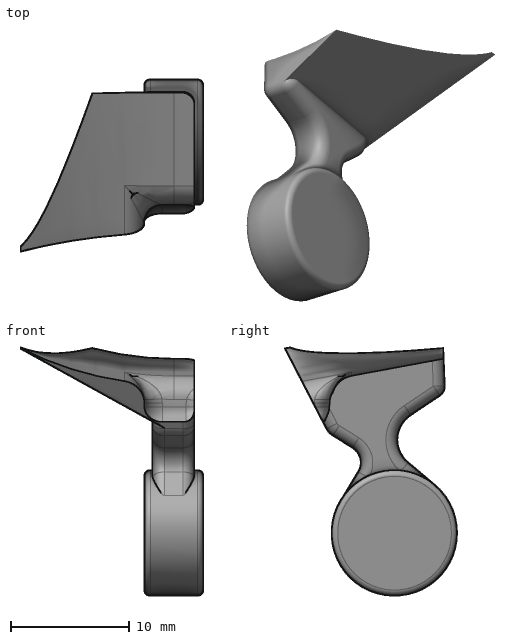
import cadquery as cq
import math

pad_diameter = 10.64
pad_thickness = 5.0
pad_edge_radius = 0.5
pad_radius = pad_diameter / 2

neck_left_x = -1.83
neck_right_x = 1.74
neck_edge_radius = 1.0
front_foot = (-4.26, 3.18)
front_waist = (-2.3, 6.45)
front_lip = (-5.57, 8.48)
back_waist = (-1.39, 8.12)
back_shoulder = (4.3, 11.93)
back_foot_angle = 50.6
front_waist_radius = 1.5
front_lip_radius = 1.5
back_waist_radius = 2.5
back_shoulder_radius = 1.0

front_lean = -0.517
back_lean = -0.04
outline_top_z = 18.0

tip_x = -12.97
blade_right_x = 0.0
blade_far_x = -20.0
top_height = 13.98
top_slope = 0.186
top_bend_radius = 27.0
underside_back = (-1.83, 4.3, 12.85)
underside_back_rise = -0.557
underside_front = (-1.83, -6.06, 9.46)
underside_front_rise = -0.5518
underside_overrun = 0.15

notch_width = pad_thickness
notch_wall_y = -5.3
notch_floor_z = 9.2
notch_corner_radius = 1.5
notch_brow_radius = 2.0
valley_top_z = 13.25

stock_size = (24.0, 40.0, 40.0)
stock_centre = (-6.0, 0.0, 10.0)
margin = 2.0
tolerance = 0.01


def make_pad():
    pad = cq.Workplane("YZ", origin=(-pad_thickness / 2, 0, 0)).circle(pad_radius).extrude(pad_thickness)
    return pad.edges().fillet(pad_edge_radius)


def front_y(z):
    return front_lip[0] + front_lean * (z - front_lip[1])


def back_y(z):
    return back_shoulder[0] + back_lean * (z - back_shoulder[1])


def make_profile(left_x, right_x):
    """Extrude the neck and head outline from left_x to right_x."""
    angle = math.radians(back_foot_angle)
    back_foot = (pad_radius * math.cos(angle), pad_radius * math.sin(angle))
    outline = [
        (0, 0),
        front_foot,
        front_waist,
        front_lip,
        (front_y(outline_top_z), outline_top_z),
        (back_y(outline_top_z), outline_top_z),
        back_shoulder,
        back_waist,
        back_foot,
    ]
    body = cq.Workplane("YZ", origin=(left_x, 0, 0)).polyline(outline).close().extrude(right_x - left_x)
    rounded_corners = [
        (front_waist, front_waist_radius),
        (front_lip, front_lip_radius),
        (back_waist, back_waist_radius),
        (back_shoulder, back_shoulder_radius),
    ]
    middle_x = (left_x + right_x) / 2
    for (y, z), radius in rounded_corners:
        body = body.edges(cq.selectors.NearestToPointSelector((middle_x, y, z))).fillet(radius)
    return body


def make_neck():
    """The neck profile with both sides rounded, from the pad up into the head."""
    neck = make_profile(neck_left_x, neck_right_x)
    rims = neck.faces("<X or >X").edges()
    rims = rims.filter(lambda e: e.distance(cq.Vertex.makeVertex(e.Center().x, 0, 0)) > tolerance)
    rims = rims.filter(lambda e: e.Center().z < outline_top_z - tolerance)
    return neck.newObject(rims.vals()).fillet(neck_edge_radius)


def along_edge(start, rise, x, y_per_z):
    """The point at x on an underside edge that rises with x and leans in Y with height."""
    z = start[2] + rise * (x - start[0])
    return cq.Vector(x, start[1] + y_per_z * (z - start[2]), z)


def make_blade():
    """The part of the wide profile that lies above the warped underside."""
    ends = []
    for start, rise, lean in (
        (underside_front, underside_front_rise, front_lean),
        (underside_back, underside_back_rise, back_lean),
    ):
        low = along_edge(start, rise, blade_right_x, lean)
        high = along_edge(start, rise, blade_far_x, lean)
        corner = cq.Vector(blade_right_x, high.y, high.z)
        ends.append((low, high, corner))
    front, back = ends
    front_out = [f + (f - b) * underside_overrun for f, b in zip(front, back)]
    back_out = [b + (b - f) * underside_overrun for f, b in zip(front, back)]
    wires = [cq.Wire.makePolygon(points, close=True) for points in (front_out, back_out)]
    above_underside = cq.Workplane(cq.Solid.makeLoft(wires, True))
    return make_profile(tip_x, blade_right_x).intersect(above_underside)


def make_top_cutter():
    """Everything above the top sheet: flat on the right, bending upward to the left."""
    back_reach = stock_size[1] / 2 + margin
    right_x = stock_centre[0] + stock_size[0] / 2 + margin
    height = stock_size[2]
    slope_plane = cq.Plane(
        origin=(0, back_reach, top_height + top_slope * back_reach),
        xDir=(1, 0, 0),
        normal=(0, -1, -top_slope),
    )
    bend = math.asin(-blade_far_x / top_bend_radius)
    middle = (-top_bend_radius * math.sin(bend / 2), top_bend_radius * (1 - math.cos(bend / 2)))
    end = (blade_far_x, top_bend_radius * (1 - math.cos(bend)))
    return (
        cq.Workplane(slope_plane)
        .lineTo(right_x, 0)
        .lineTo(right_x, height)
        .lineTo(blade_far_x, height)
        .lineTo(*end)
        .threePointArc(middle, (0, 0))
        .close()
        .extrude(2 * back_reach)
    )


def make_plain_stock():
    block = cq.Workplane("XY").box(*stock_size).translate(stock_centre)
    return block.cut(make_top_cutter())


def make_stepped_stock(step_size, step_corner, brow_points):
    """The stock with one step cut from it and the step's upper edge rounded."""
    step = cq.Workplane("XY").box(*step_size, centered=False).translate(step_corner)
    stock = make_plain_stock().cut(step)
    return stock.newObject(nearest_edges(stock, brow_points)).fillet(notch_brow_radius)


def nearest_edges(body, points):
    """The edge of the body nearest to each of the points."""
    edges = body.edges().vals()
    return [min(edges, key=lambda edge: edge.distance(cq.Vertex.makeVertex(*point))) for point in points]


def make_notch_space():
    """The space of the notch under the top sheet, with its brows, corners and floor rounded."""
    length, depth, height = stock_size
    half_width = notch_width / 2
    top_at_wall = top_height + top_slope * notch_wall_y
    bend_rise = top_bend_radius - math.sqrt(top_bend_radius**2 - half_width**2)

    wall = make_stepped_stock(
        (2 * length, depth, height),
        (-length, notch_wall_y - depth, notch_floor_z),
        [(half_width, notch_wall_y, top_at_wall), (-half_width, notch_wall_y, top_at_wall + bend_rise)],
    )
    cheeks = make_stepped_stock(
        (notch_width, 2 * depth, height),
        (-half_width, -depth, notch_floor_z),
        [(half_width, 0, top_height), (-half_width, 0, top_height + bend_rise)],
    )
    stock = wall.union(cheeks)

    layer = cq.Workplane("XY").box(2 * length, 2 * depth, 2 * height)
    lower = stock.intersect(layer.translate((0, 0, valley_top_z - height)))
    upper = stock.intersect(layer.translate((0, 0, valley_top_z + height)))
    reach = 2 * notch_brow_radius
    corner_box = cq.selectors.BoxSelector(
        (-half_width - reach, notch_wall_y - tolerance, notch_floor_z + tolerance),
        (half_width + reach, notch_wall_y + reach, valley_top_z - tolerance),
    )
    valleys = lower.edges(corner_box).filter(lambda e: abs(e.Center().x) > half_width - tolerance)
    floor_box = cq.selectors.BoxSelector(
        (-half_width - tolerance, notch_wall_y - depth / 2, notch_floor_z - tolerance),
        (half_width + tolerance, notch_wall_y + tolerance, notch_floor_z + tolerance),
    )
    floor_edges = lower.edges(floor_box)
    lower = lower.newObject(valleys.vals() + floor_edges.vals()).fillet(notch_corner_radius)
    return make_plain_stock().cut(lower.union(upper))


def make_head():
    head = make_neck().union(make_blade())
    return head.cut(make_top_cutter()).cut(make_notch_space())


result = make_pad().union(make_head())